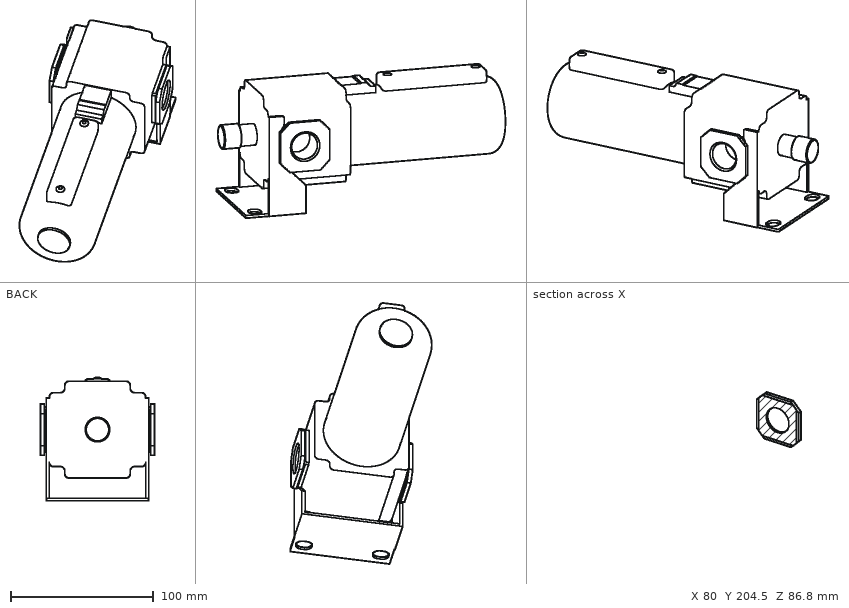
import cadquery as cq
import math


body_half_width = 33.8
body_half_height = 34.0
body_back = 25.3
body_front = -35.2
step_x = 23.0
step_z = 26.0
body_radius = 3.0

stem_radius = 7.6
knob_radius = 8.6
knob_front = 36.9
knob_back = 49.5
knob_chamfer = 0.7

bowl_radius = 27.6
bowl_end = -153.1
bowl_fillet = 8.9
drain_radius = 11.7
drain_end = -155.0

port_face = 40.0
port_flange_thickness = 2.8
port_flange_size = 36.0
port_flange_chamfer = 6.8
port_neck_size = 30.6
port_neck_chamfer = 1.2
port_flare_size = 32.4
port_flare_length = 1.0
port_bore_radius = 9.45
port_bore_chamfer = 1.3
port_bore_depth = 20.0

bracket_half_width = 36.1
bracket_bottom = -50.0
bracket_top = 22.3
bracket_arm_front = 14.2
bracket_arm_radius = 1.2
bracket_foot_front = -1.95
bracket_foot_top = -29.6
base_thickness = 2.0
base_half_width = 35.7
base_back = 42.1
base_corner_radius = 0.6
slot_x = 27.5
slot_y = 33.2
slot_length = 11.6
slot_width = 9.0

latch_half_width = 9.6
latch_top = 33.3
latch_ridge_top = 33.8
latch_ridge_back = -49.4
latch_ridge_rise_end = -50.6
latch_ridge_front = -54.8
latch_toe_back = -57.3
latch_toe_top = 30.7
latch_front = -61.1

cover_half_width = 9.0
cover_back = -66.5
cover_front = -143.2
cover_top = 35.6
cover_fillet = 2.6

screw_inset = 6.0
screw_radius = 3.0
screw_tip_radius = 1.2
screw_height = 1.2


def cylinder_along_y(radius, y_start, y_end):
    """Cylinder on the bowl axis from y_start back down to y_end."""
    return cq.Workplane("XZ", origin=(0, y_start, 0)).circle(radius).extrude(y_start - y_end)


def make_body():
    """Block with a stepped, rounded notch along each of its four long edges."""
    wide = cq.Workplane("XZ", origin=(0, body_back, 0)).rect(2 * body_half_width, 2 * step_z)
    wide = wide.extrude(body_back - body_front)
    tall = cq.Workplane("XZ", origin=(0, body_back, 0)).rect(2 * step_x, 2 * body_half_height)
    tall = tall.extrude(body_back - body_front)
    return wide.union(tall).edges("|Y").fillet(body_radius)


def make_knob():
    """Stem and knob standing on the back face."""
    stem = cylinder_along_y(stem_radius, knob_front, body_back)
    knob = cylinder_along_y(knob_radius, knob_back, knob_front)
    return stem.union(knob.faces(">Y").chamfer(knob_chamfer))


def make_bowl():
    """Round bowl with a rounded end and a drain disc."""
    bowl = cylinder_along_y(bowl_radius, body_front, bowl_end)
    bowl = bowl.faces("<Y").edges().fillet(bowl_fillet)
    return bowl.union(cylinder_along_y(drain_radius, bowl_end, drain_end))


def make_port(side):
    """Octagonal flange on a square, flared neck with trimmed corners; side is -1 or +1 along X."""
    flange_back = port_face - port_flange_thickness
    flange = cq.Workplane("YZ", origin=(flange_back, 0, 0)).rect(port_flange_size, port_flange_size)
    flange = flange.extrude(port_flange_thickness).edges("|X").chamfer(port_flange_chamfer)
    neck_length = flange_back - body_half_width
    neck = cq.Workplane("YZ", origin=(body_half_width, 0, 0)).rect(port_neck_size, port_neck_size)
    neck = neck.extrude(neck_length)
    flare = cq.Workplane("YZ", origin=(flange_back - port_flare_length, 0, 0))
    flare = flare.rect(port_neck_size, port_neck_size).workplane(offset=port_flare_length)
    flare = flare.rect(port_flare_size, port_flare_size).loft()
    corner_square = math.sqrt(2) * (port_neck_size - port_neck_chamfer)
    corner_trim = cq.Workplane("YZ", origin=(body_half_width, 0, 0)).rect(corner_square, corner_square)
    corner_trim = corner_trim.extrude(neck_length).rotate((0, 0, 0), (1, 0, 0), 45)
    port = flange.union(neck.union(flare).intersect(corner_trim))
    return port if side > 0 else port.mirror("YZ")


def make_port_bore(side):
    """Blind bore with a chamfered mouth; side is -1 or +1 along X."""
    bottom = port_face - port_bore_depth
    bore = cq.Workplane("XY").polyline([
        (bottom, 0),
        (bottom, port_bore_radius),
        (port_face - port_bore_chamfer, port_bore_radius),
        (port_face, port_bore_radius + port_bore_chamfer),
        (port_face, 0),
    ]).close().revolve(360, (0, 0, 0), (1, 0, 0))
    return bore if side > 0 else bore.mirror("YZ")


def make_bracket():
    """U-shaped bracket: two side arms joined by a slotted base plate."""
    slant = bracket_arm_front - bracket_foot_front
    arms = cq.Workplane("YZ", origin=(-bracket_half_width, 0, 0)).polyline([
        (body_back, bracket_bottom),
        (body_back, bracket_top),
        (bracket_arm_front, bracket_top),
        (bracket_arm_front, bracket_foot_top + slant),
        (bracket_foot_front, bracket_foot_top),
        (bracket_foot_front, bracket_bottom),
    ]).close().extrude(2 * bracket_half_width)
    arms = arms.faces(">Z").edges("<Y").fillet(bracket_arm_radius)
    gap = cq.Workplane("XY", origin=(0, 0, bracket_bottom + base_thickness))
    gap = gap.rect(2 * body_half_width, 2 * base_back).extrude(bracket_top - bracket_bottom)
    base = cq.Workplane("XY", origin=(0, (body_back + base_back) / 2, bracket_bottom))
    base = base.rect(2 * base_half_width, base_back - body_back).extrude(base_thickness)
    base = base.edges("|Z and >Y").fillet(base_corner_radius)
    slots = cq.Workplane("XY", origin=(0, slot_y, bracket_bottom))
    slots = slots.pushPoints([(-slot_x, 0), (slot_x, 0)]).slot2D(slot_length, slot_width)
    return arms.cut(gap).union(base).cut(slots.extrude(base_thickness))


def make_latch():
    """Latch with a raised ridge and a sloped toe, reaching down into the bowl."""
    return cq.Workplane("YZ", origin=(-latch_half_width, 0, 0)).polyline([
        (body_front, 0),
        (body_front, latch_top),
        (latch_ridge_back, latch_top),
        (latch_ridge_rise_end, latch_ridge_top),
        (latch_ridge_front, latch_ridge_top),
        (latch_toe_back, latch_toe_top),
        (latch_front, latch_toe_top),
        (latch_front, 0),
    ]).close().extrude(2 * latch_half_width)


def make_cover():
    """Rounded sight cover with a low conical screw head near each end."""
    middle = (cover_back + cover_front) / 2
    cover = cq.Workplane("XY", origin=(0, middle, 0))
    cover = cover.rect(2 * cover_half_width, cover_back - cover_front).extrude(cover_top)
    cover = cover.edges("|Z or >Z").fillet(cover_fillet)
    for screw_y in (cover_back - screw_inset, cover_front + screw_inset):
        seat = cq.Vector(0, screw_y, cover_top)
        head = cq.Solid.makeCone(screw_radius, screw_tip_radius, screw_height, seat)
        cover = cover.union(cq.Workplane(head))
    return cover


result = make_body()
for feature in (make_knob(), make_bowl(), make_bracket(), make_latch(), make_cover()):
    result = result.union(feature)
for side in (-1, 1):
    result = result.union(make_port(side))
    result = result.cut(make_port_bore(side))